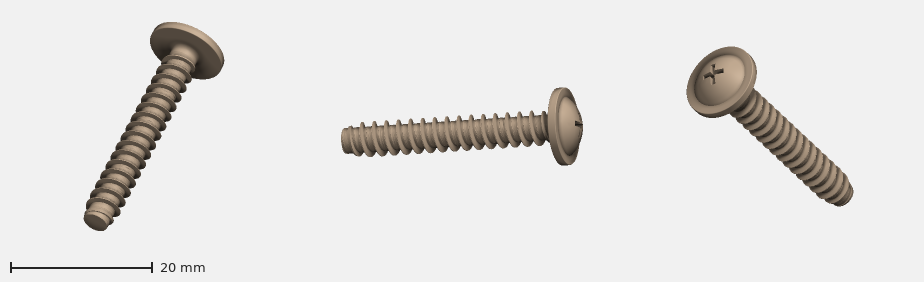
import math

import cadquery as cq


total_length = 35.15
flange_radius = 5.5
flange_thickness = 1.2
flange_edge_fillet = 0.1
dome_radius = 4.18
dome_height = 1.97

recess_slot_width = 0.75
recess_span = 3.45
recess_depth = 1.4

neck_radius = 1.985
neck_fillet = 0.75
neck_length = 1.25
neck_taper_end = 2.0
core_radius = 1.83
tip_radius = 1.8
tip_cone_height = 0.07

pitch = 1.8
crest_offset = 0.05
crest_radius = 2.53
crest_width = 0.1
head_flank_width = 0.25
tip_flank_width = 0.18
relief_width = 0.42
relief_depth = 0.07
thread_start = 1.23
full_thread_start = 2.88
full_thread_end = 29.25
start_crest_radius = 2.15

dome_sphere_radius = (dome_radius**2 + dome_height**2) / (2 * dome_height)
recess_corner_radius = recess_slot_width / math.sqrt(2)
lost_apex_height = dome_sphere_radius - math.sqrt(dome_sphere_radius**2 - recess_corner_radius**2)
head_height = flange_thickness + dome_height
shank_length = total_length - head_height + lost_apex_height


def revolve_about_axis(outline):
    """Turn a closed (radius, axial) outline into a solid of revolution about Z."""
    return outline.close().revolve(360, (0, 0, 0), (0, 1, 0))


def make_head_and_neck():
    """Domed flange with the filleted neck that tapers down into the thread core."""
    dome_half_angle = math.asin(dome_radius / dome_sphere_radius) / 2
    dome_middle = (
        dome_sphere_radius * math.sin(dome_half_angle),
        -head_height + dome_sphere_radius * (1 - math.cos(dome_half_angle)),
    )
    flat_radius = flange_radius - flange_edge_fillet
    neck_end_radius = core_radius - relief_depth
    outline = (
        cq.Workplane("XZ")
        .moveTo(0, -head_height)
        .threePointArc(dome_middle, (dome_radius, -flange_thickness))
        .lineTo(flat_radius, -flange_thickness)
        .radiusArc((flange_radius, -flange_thickness + flange_edge_fillet), -flange_edge_fillet)
        .lineTo(flange_radius, -flange_edge_fillet)
        .radiusArc((flat_radius, 0), -flange_edge_fillet)
        .lineTo(neck_radius + neck_fillet, 0)
        .radiusArc((neck_radius, neck_fillet), neck_fillet)
        .lineTo(neck_radius, neck_length)
        .lineTo(neck_end_radius, neck_taper_end)
        .lineTo(0, neck_taper_end)
    )
    return revolve_about_axis(outline)


def make_recess():
    """Cross-shaped driver recess sunk into the top of the dome."""
    top = cq.Workplane("XY").workplane(offset=-head_height)
    slot = top.rect(recess_span, recess_slot_width).extrude(recess_depth)
    return slot.union(top.rect(recess_slot_width, recess_span).extrude(recess_depth))


def thread_section(height):
    """Cross-section of the threaded rod, square to the axis, at the given height.

    Each straight stretch of the axial thread profile appears in it as an Archimedean spiral,
    and each cylindrical stretch as a circular arc.
    """
    half_crest = crest_width / 2
    head_foot = -half_crest - head_flank_width
    relief_edge = head_foot - relief_width
    axial_profile = [
        (relief_edge, core_radius),
        (head_foot, core_radius - relief_depth),
        (-half_crest, crest_radius),
        (half_crest, crest_radius),
        (half_crest + tip_flank_width, core_radius),
        (relief_edge + pitch, core_radius),
    ]
    spiral_steps = 12

    def point_between(start, end, fraction):
        axial = start[0] + (end[0] - start[0]) * fraction
        radius = start[1] + (end[1] - start[1]) * fraction
        angle = 2 * math.pi * (height - crest_offset - axial) / pitch
        return (radius * math.cos(angle), radius * math.sin(angle))

    first, second = axial_profile[:2]
    section = cq.Workplane("XY", origin=(0, 0, height)).moveTo(*point_between(first, second, 0))
    for start, end in zip(axial_profile, axial_profile[1:]):
        if start[1] == end[1]:
            section = section.threePointArc(point_between(start, end, 0.5), point_between(start, end, 1))
        else:
            spiral = [point_between(start, end, step / spiral_steps) for step in range(1, spiral_steps + 1)]
            section = section.spline(spiral, includeCurrent=True)
    return section.close()


def make_threaded_rod(start, end):
    """Core and full-height right-hand thread between two axial positions."""
    length = end - start
    return thread_section(start).twistExtrude(length, 360 * length / pitch)


def make_thread_start():
    """First turn, whose crest grows to full height as it leaves the neck."""
    envelope = cq.Workplane("XZ").polyline(
        [
            (0, thread_start),
            (start_crest_radius, thread_start),
            (crest_radius, full_thread_start),
            (0, full_thread_start),
        ]
    )
    return make_threaded_rod(thread_start, full_thread_start).intersect(revolve_about_axis(envelope))


def make_thread_runout():
    """Last turns, whose crest sinks into the core before the slightly conical tip."""
    envelope = cq.Workplane("XZ").polyline(
        [
            (0, full_thread_end),
            (crest_radius, full_thread_end),
            (tip_radius, shank_length - tip_cone_height),
            (0, shank_length),
        ]
    )
    rod_end = shank_length + tip_cone_height
    return make_threaded_rod(full_thread_end, rod_end).intersect(revolve_about_axis(envelope))


head = make_head_and_neck().cut(make_recess())
screw = (
    make_threaded_rod(full_thread_start, full_thread_end)
    .union(make_thread_start().union(head))
    .union(make_thread_runout())
)

result = screw.rotate((0, 0, 0), (1, 0, 0), 90)